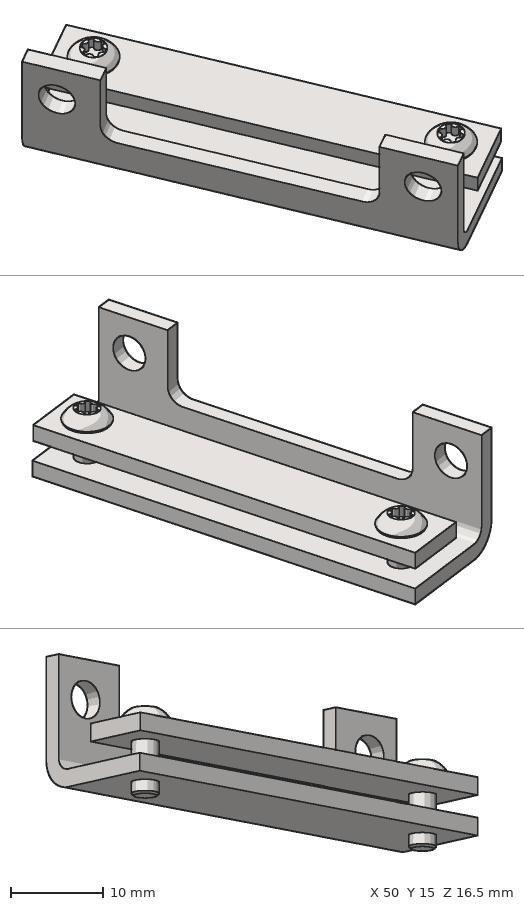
import cadquery as cq
import math

LENGTH = 50.0
DEPTH = 15.0
HEIGHT = 15.0
THICKNESS = 2.0
INNER_BEND_RADIUS = 1.5
OUTER_BEND_RADIUS = INNER_BEND_RADIUS + THICKNESS
EAR_WIDTH = 9.0
NOTCH_DEPTH = 9.0
NOTCH_RADIUS = 2.0
EAR_HOLE_DIAMETER = 4.2
EAR_HOLE_FROM_END = 4.0
EAR_HOLE_FROM_TOP = 4.5

PLATE_LENGTH = 49.9
PLATE_WIDTH = 8.0
PLATE_GAP = 2.5
PLATE_BOTTOM = THICKNESS + PLATE_GAP
PLATE_TOP = PLATE_BOTTOM + THICKNESS

SCREW_FROM_END = 4.5
SCREW_PITCH = LENGTH - 2 * SCREW_FROM_END
SCREW_Y = DEPTH - PLATE_WIDTH / 2
SHANK_RADIUS = 1.5
SHANK_TIP_Z = -1.5
TIP_CHAMFER = 0.25
HEAD_RADIUS = 2.85
HEAD_BASE_RADIUS = 2.7
HEAD_TOP_RADIUS = 1.5
HEAD_HEIGHT = 1.65
RIM_HEIGHT = 0.3

SOCKET_RADIUS = 1.4
SOCKET_INNER_RADIUS = 1.0
SOCKET_DEPTH = 1.3
LOBE_COUNT = 6
FLUTE_RADIUS = 0.45

screw_positions = [
    (SCREW_FROM_END + i * SCREW_PITCH, SCREW_Y) for i in range(2)
]


def cut_screw_holes(body):
    """Cut the vertical through holes that the screw shanks fill."""
    holes = (
        cq.Workplane("XY")
        .pushPoints(screw_positions)
        .circle(SHANK_RADIUS)
        .extrude(HEIGHT)
    )
    return body.cut(holes)


def make_bracket():
    bracket = (
        cq.Workplane("YZ")
        .moveTo(DEPTH, 0)
        .lineTo(OUTER_BEND_RADIUS, 0)
        .radiusArc((0, OUTER_BEND_RADIUS), OUTER_BEND_RADIUS)
        .lineTo(0, HEIGHT)
        .lineTo(THICKNESS, HEIGHT)
        .lineTo(THICKNESS, OUTER_BEND_RADIUS)
        .radiusArc((OUTER_BEND_RADIUS, THICKNESS), -INNER_BEND_RADIUS)
        .lineTo(DEPTH, THICKNESS)
        .close()
        .extrude(LENGTH)
    )

    notch = (
        cq.Workplane("XY")
        .box(LENGTH - 2 * EAR_WIDTH, THICKNESS, NOTCH_DEPTH, centered=False)
        .translate((EAR_WIDTH, 0, HEIGHT - NOTCH_DEPTH))
        .edges("|Y and <Z")
        .fillet(NOTCH_RADIUS)
    )

    hole_z = HEIGHT - EAR_HOLE_FROM_TOP
    ear_holes = (
        cq.Workplane("XZ")
        .pushPoints([(EAR_HOLE_FROM_END, hole_z), (LENGTH - EAR_HOLE_FROM_END, hole_z)])
        .circle(EAR_HOLE_DIAMETER / 2)
        .extrude(-THICKNESS)
    )
    return cut_screw_holes(bracket.cut(notch).cut(ear_holes))


def make_clamp_plate():
    plate = (
        cq.Workplane("XY")
        .box(PLATE_LENGTH, PLATE_WIDTH, THICKNESS, centered=False)
        .translate((0, DEPTH - PLATE_WIDTH, PLATE_BOTTOM))
    )
    return cut_screw_holes(plate)


def make_drive_socket():
    """Six-lobe recess: a round pocket with a flute left between each pair of lobes."""
    floor_z = PLATE_TOP + HEAD_HEIGHT - SOCKET_DEPTH
    flute_angle = 360 / LOBE_COUNT
    pocket = cq.Workplane("XY", origin=(0, 0, floor_z)).circle(SOCKET_RADIUS).extrude(SOCKET_DEPTH)
    flutes = (
        cq.Workplane("XY", origin=(0, 0, floor_z))
        .polarArray(SOCKET_INNER_RADIUS + FLUTE_RADIUS, flute_angle / 2, 360, LOBE_COUNT)
        .circle(FLUTE_RADIUS)
        .extrude(SOCKET_DEPTH)
    )
    return pocket.cut(flutes)


def make_screw(x, y):
    rim_z = PLATE_TOP + RIM_HEIGHT
    head_top = PLATE_TOP + HEAD_HEIGHT
    dome_rise = HEAD_HEIGHT - RIM_HEIGHT
    center_rise = (HEAD_TOP_RADIUS**2 + dome_rise**2 - HEAD_RADIUS**2) / (2 * dome_rise)
    dome_radius = math.hypot(HEAD_RADIUS, center_rise)

    screw = (
        cq.Workplane("XZ")
        .moveTo(0, SHANK_TIP_Z)
        .lineTo(SHANK_RADIUS - TIP_CHAMFER, SHANK_TIP_Z)
        .lineTo(SHANK_RADIUS, SHANK_TIP_Z + TIP_CHAMFER)
        .lineTo(SHANK_RADIUS, PLATE_TOP)
        .lineTo(HEAD_BASE_RADIUS, PLATE_TOP)
        .lineTo(HEAD_RADIUS, rim_z)
        .radiusArc((HEAD_TOP_RADIUS, head_top), -dome_radius)
        .lineTo(0, head_top)
        .close()
        .revolve(360, (0, 0, 0), (0, 1, 0))
    )
    return screw.cut(make_drive_socket()).translate((x, y, 0))


bracket = make_bracket()
clamp_plate = make_clamp_plate()
screws = [make_screw(x, y).val() for x, y in screw_positions]

result = cq.Compound.makeCompound([bracket.val(), clamp_plate.val(), *screws])